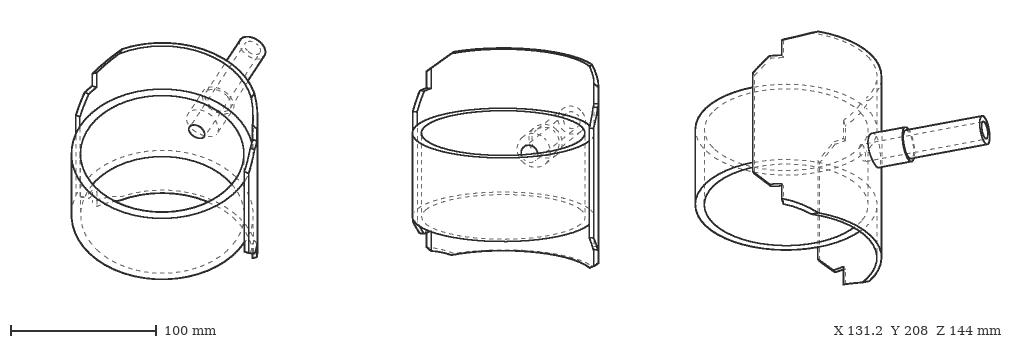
import cadquery as cq

ring_outer_radius = 62.5
ring_inner_radius = 56.2
ring_height = 59.7

saddle_outer_diameter = 131.2
saddle_outer_radius = saddle_outer_diameter / 2
saddle_height = 144.0
notch_depth = 20.0
tab_height = 102.0
tab_chamfer = 11.9
corner_flat_width = 100.3
corner_end_width = 124.8
corner_drop = 9.2

overall_length = 208.0
stem_tip = overall_length - ring_outer_radius
stem_diameter = 20.0
collar_diameter = 24.1
collar_end = 89.6
bore_diameter = 12.0


def tube(outer_radius, inner_radius, height):
    """Hollow cylinder along Z, centred on the origin."""
    return (
        cq.Workplane("XY", origin=(0, 0, -height / 2))
        .circle(outer_radius)
        .circle(inner_radius)
        .extrude(height)
    )


def rod(diameter, start, end):
    """Cylinder along +Y between two Y positions."""
    return (
        cq.Workplane("XZ", origin=(0, start, 0))
        .circle(diameter / 2)
        .extrude(start - end)
    )


def saddle_side_profile():
    """Stepped saddle silhouette in YZ, extruded across the full width."""
    half_height = saddle_height / 2
    half_tab = tab_height / 2
    upper = [
        (0, half_tab - tab_chamfer),
        (tab_chamfer, half_tab),
        (notch_depth, half_tab),
        (notch_depth, half_height),
        (saddle_outer_radius, half_height),
    ]
    lower = [(y, -z) for y, z in reversed(upper)]
    return (
        cq.Workplane("YZ")
        .polyline(upper + lower)
        .close()
        .extrude(saddle_outer_radius, both=True)
    )


def corner_cutter(x_side, z_side):
    """Wedge along Y that slopes one outer corner of the saddle."""
    slope = corner_drop / ((corner_end_width - corner_flat_width) / 2)
    run = saddle_outer_radius - corner_flat_width / 2
    top = z_side * saddle_height / 2
    return (
        cq.Workplane("XZ", origin=(0, notch_depth, 0))
        .moveTo(x_side * corner_flat_width / 2, top)
        .lineTo(x_side * saddle_outer_radius, top)
        .lineTo(x_side * saddle_outer_radius, top - z_side * slope * run)
        .close()
        .extrude(notch_depth - saddle_outer_radius)
    )


def make_saddle():
    shell = tube(saddle_outer_radius, ring_outer_radius, saddle_height)
    saddle = shell.intersect(saddle_side_profile())
    for x_side in (-1, 1):
        for z_side in (-1, 1):
            saddle = saddle.cut(corner_cutter(x_side, z_side))
    return saddle


ring = tube(ring_outer_radius, ring_inner_radius, ring_height)

collar_start = (ring_inner_radius + ring_outer_radius) / 2
collar = rod(collar_diameter, collar_start, collar_end)
stem = rod(stem_diameter, collar_start, stem_tip)
bore = rod(bore_diameter, 0, stem_tip)

result = ring.union(make_saddle()).union(collar).union(stem).cut(bore)